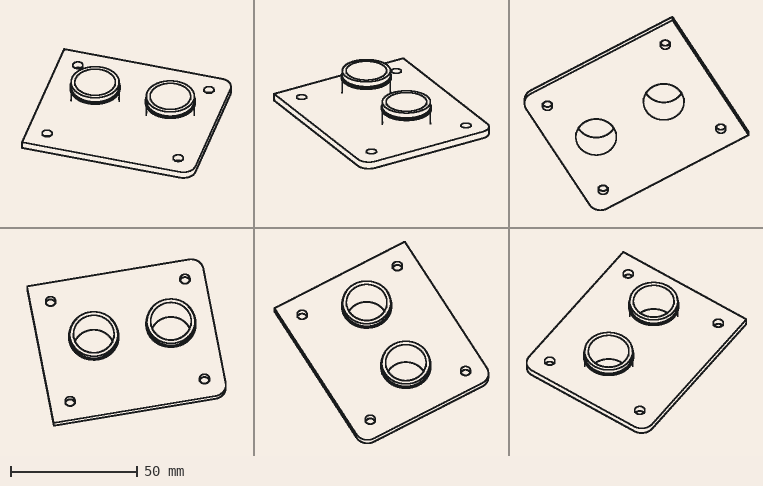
import cadquery as cq

PLATE_LENGTH = 70.0
PLATE_WIDTH = 59.5
PLATE_THICKNESS = 3.0
CORNER_RADIUS = 5.0

MOUNT_HOLE_DIAMETER = 4.0
MOUNT_HOLE_EDGE_DISTANCE = 8.0

TOTAL_HEIGHT = 15.0
BORE_DIAMETER = 16.05
TUBE_DIAMETER = 19.05
FILLET_RADIUS = 2.5
FIRST_SPIGOT_X = 21.44
SPIGOT_SPACING = 31.0
SPIGOT_COUNT = 2

BEAD_DIAMETER = 19.8
BEAD_BASE_WIDTH = 1.2
BEAD_CREST_WIDTH = 0.5
BEAD_TOP_DEPTH = 2.15

spigot_centers = [
    (FIRST_SPIGOT_X + index * SPIGOT_SPACING, PLATE_WIDTH / 2) for index in range(SPIGOT_COUNT)
]


def make_plate():
    """Flat plate with its lower left corner at the origin and the two +X corners rounded."""
    plate = cq.Workplane("XY").box(PLATE_LENGTH, PLATE_WIDTH, PLATE_THICKNESS, centered=False)
    return plate.edges("|Z and >X").fillet(CORNER_RADIUS)


def make_spigot():
    """Spigot about the Z axis, without its bore: flared foot, straight wall and bead."""
    tube_radius = TUBE_DIAMETER / 2
    bead_radius = BEAD_DIAMETER / 2
    foot_radius = tube_radius + FILLET_RADIUS
    fillet_top = PLATE_THICKNESS + FILLET_RADIUS
    bead_top = TOTAL_HEIGHT - BEAD_TOP_DEPTH
    bead_bottom = bead_top - BEAD_BASE_WIDTH
    flank_height = (BEAD_BASE_WIDTH - BEAD_CREST_WIDTH) / 2
    diagonal_offset = FILLET_RADIUS * 0.5**0.5

    profile = (
        cq.Workplane("XZ")
        .lineTo(foot_radius, 0)
        .lineTo(foot_radius, PLATE_THICKNESS)
        .threePointArc(
            (foot_radius - diagonal_offset, fillet_top - diagonal_offset),
            (tube_radius, fillet_top),
        )
        .lineTo(tube_radius, bead_bottom)
        .lineTo(bead_radius, bead_bottom + flank_height)
        .lineTo(bead_radius, bead_top - flank_height)
        .lineTo(tube_radius, bead_top)
        .lineTo(tube_radius, TOTAL_HEIGHT)
        .lineTo(0, TOTAL_HEIGHT)
        .close()
    )
    return profile.revolve(360, (0, 0, 0), (0, 1, 0))


def make_through_cutters(centers, diameter):
    """Cylinders that pass through the full height of the part."""
    return cq.Workplane("XY").pushPoints(centers).circle(diameter / 2).extrude(TOTAL_HEIGHT)


mount_hole_centers = [
    (x, y)
    for x in (MOUNT_HOLE_EDGE_DISTANCE, PLATE_LENGTH - MOUNT_HOLE_EDGE_DISTANCE)
    for y in (MOUNT_HOLE_EDGE_DISTANCE, PLATE_WIDTH - MOUNT_HOLE_EDGE_DISTANCE)
]

body = make_plate()
for center_x, center_y in spigot_centers:
    body = body.union(make_spigot().translate((center_x, center_y, 0)))

body = body.cut(make_through_cutters(spigot_centers, BORE_DIAMETER))
result = body.cut(make_through_cutters(mount_hole_centers, MOUNT_HOLE_DIAMETER))